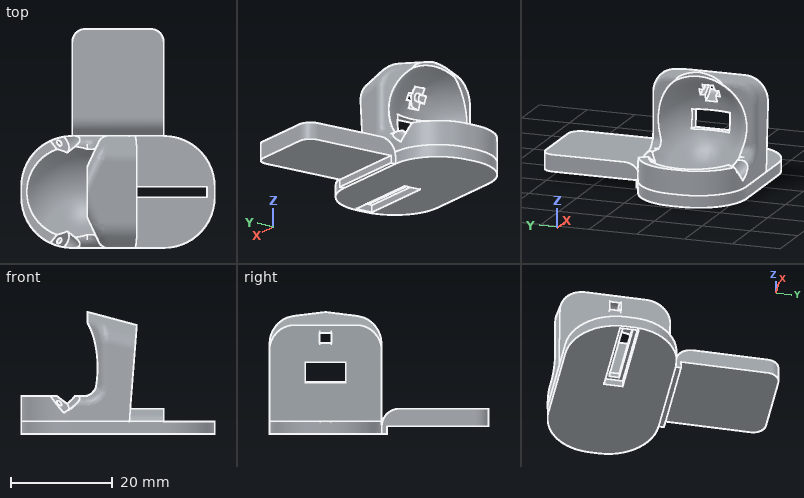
import cadquery as cq
import math

plate_length = 38.0
plate_width = 22.0
plate_thickness = 2.5
corner_radius = 10.0
half_width = plate_width / 2
straight_start = corner_radius
straight_end = plate_length - corner_radius

back_foot = 21.25
slot_start = back_foot
slot_end = 36.45
slot_width = 2.0
slot_lip_thickness = 1.05
slot_step = 0.85

overall_width = 43
tab_length = overall_width - plate_width
tab_underside = 1.5
tab_thickness = 3.5
tab_leg_width = 1.08
tab_corner_radius = 2.6

housing_height = 24.0
rim_height = 7.5
back_lean = 4.5
roof_slope = 15
roof_edge_radius = 5.0
brow_front = 13.0
pillar_corner = 15.8
pillar_sweep = 25
edge_radius = 2.0

socket_radius = 10.5
socket_x = corner_radius
socket_floor = 0.05
socket_z = plate_thickness + socket_floor + socket_radius

window_width = 7.9
window_height = 4.0
window_x = 20.3
window_z = 12.2
lever_pivot_x = 20.5
lever_pivot_z = 19.0
lever_pitch = 30
lever_slot_width = 2.3
lever_slot_radius = 2.25
axle_slot_width = 4.13
axle_slot_radius = 0.77

hinge_x = 7.5
hinge_y = 9.6
hinge_z = 6.05
hinge_turn = 38
hinge_rise = 38
hinge_seat_radius = 2.45
hinge_hole_diameter = 1.2
hinge_hole_depth = 2.0

cut_reach = 6.45


def tan_deg(angle):
    return math.tan(math.radians(angle))


def rounded_slab(bottom, height):
    """Rectangle with large round corners, standing on the given level."""
    return (
        cq.Workplane("XY", origin=(plate_length / 2, 0, bottom))
        .rect(plate_length, plate_width)
        .extrude(height)
        .edges("|Z")
        .fillet(corner_radius)
    )


def make_plate():
    slot_length = slot_end - slot_start
    slot_middle = cq.Workplane("XY", origin=((slot_start + slot_end) / 2, 0, 0))
    slot = slot_middle.rect(slot_length, slot_width).extrude(plate_thickness)
    wide_slot = slot_middle.rect(
        slot_length + 2 * slot_step, slot_width + 2 * slot_step
    ).extrude(plate_thickness - slot_lip_thickness)
    return rounded_slab(0, plate_thickness).cut(slot).cut(wide_slot)


def make_tab():
    root = half_width
    top = tab_underside + tab_thickness
    arc_mid = tab_thickness * math.sin(math.radians(45))
    profile = (
        cq.Workplane("YZ", origin=(straight_start, 0, 0))
        .moveTo(root, 0)
        .lineTo(root, tab_underside)
        .threePointArc(
            (root + tab_thickness - arc_mid, tab_underside + arc_mid),
            (root + tab_thickness, top),
        )
        .lineTo(root + tab_length, top)
        .lineTo(root + tab_length, tab_underside)
        .lineTo(root + tab_leg_width, tab_underside)
        .lineTo(root + tab_leg_width, 0)
        .close()
    )
    tab = profile.extrude(straight_end - straight_start)
    return tab.faces(">Y").edges("|Z").fillet(tab_corner_radius)


def make_arch_half():
    """The -Y half of the raised back, cut on the middle plane so both halves mitre there."""
    roof_fall = tan_deg(roof_slope)
    lean = tan_deg(back_lean)
    front_roof = housing_height + (brow_front - straight_start) * roof_fall
    back_rise = (front_roof - plate_thickness - (back_foot - straight_start) * roof_fall) / (
        1 + lean * roof_fall
    )
    half = (
        cq.Workplane("XZ")
        .moveTo(straight_start, plate_thickness)
        .lineTo(back_foot, plate_thickness)
        .lineTo(back_foot + back_rise * lean, plate_thickness + back_rise)
        .lineTo(straight_start, front_roof)
        .close()
        .extrude(half_width)
    )
    half = half.faces("<Y").edges(">Z").fillet(roof_edge_radius)

    nose_x = pillar_corner - half_width * tan_deg(pillar_sweep)
    front_space = (
        cq.Workplane("XY", origin=(0, 0, rim_height))
        .moveTo(0, 0)
        .lineTo(nose_x, 0)
        .lineTo(pillar_corner, -half_width)
        .lineTo(0, -half_width)
        .close()
        .extrude(housing_height)
    )
    half = half.cut(front_space)

    foot_middle = ((nose_x + pillar_corner) / 2, -half_width / 2, rim_height)
    half = half.edges(cq.NearestToPointSelector(foot_middle)).fillet(edge_radius)
    pillar_middle = (pillar_corner, -half_width, (rim_height + housing_height) / 2)
    return half.edges(cq.NearestToPointSelector(pillar_middle)).fillet(edge_radius)


def round_ended_channel(radius, width):
    """Climbing channel from the socket whose closed end is round about the lever pivot."""
    end = cq.Workplane("XZ").circle(radius).extrude(width / 2, both=True)
    run = cq.Workplane("XZ").rect(2 * socket_radius, 2 * radius).extrude(width / 2, both=True)
    channel = end.union(run.translate((-socket_radius, 0, 0)))
    channel = channel.rotate((0, 0, 0), (0, 1, 0), -lever_pitch)
    return channel.translate((lever_pivot_x, 0, lever_pivot_z))


def make_window():
    """Rectangular opening square to the leaning back face."""
    window = cq.Workplane("XY").box(cut_reach, window_width, window_height)
    window = window.rotate((0, 0, 0), (0, 1, 0), back_lean)
    return window.translate((window_x, 0, window_z))


def make_hinge_cut(side):
    """Round seat open to the outside, with a blind pin hole in its floor."""
    turn = math.radians(hinge_turn)
    rise = math.radians(hinge_rise)
    axis = cq.Vector(
        math.cos(rise) * math.cos(turn),
        side * math.cos(rise) * math.sin(turn),
        math.sin(rise),
    )
    centre = cq.Vector(hinge_x, side * hinge_y, hinge_z)
    seat = cq.Solid.makeCylinder(hinge_seat_radius, cut_reach, centre, axis)
    hole = cq.Solid.makeCylinder(hinge_hole_diameter / 2, hinge_hole_depth, centre, axis * -1)
    return seat.fuse(hole)


def make_housing():
    arch_half = make_arch_half()
    arch = arch_half.union(arch_half.mirror("XZ"))
    rim_space = cq.Workplane("XY").box(
        corner_radius, plate_width, housing_height, centered=(False, True, False)
    )
    rim = rounded_slab(plate_thickness, rim_height - plate_thickness).intersect(rim_space)
    housing = rim.union(arch)

    nose_space = cq.Workplane("XY", origin=(0, 0, rim_height)).box(
        brow_front, plate_width, housing_height, centered=(False, True, False)
    )
    socket = cq.Workplane("XY").sphere(socket_radius).translate((socket_x, 0, socket_z))
    housing = housing.cut(nose_space).cut(socket).cut(make_window())
    housing = housing.cut(round_ended_channel(lever_slot_radius, lever_slot_width))
    housing = housing.cut(round_ended_channel(axle_slot_radius, axle_slot_width))
    for side in (-1, 1):
        housing = housing.cut(cq.Workplane(make_hinge_cut(side)))
    return housing


plate = make_plate()
tab = make_tab()
housing = make_housing()

result = cq.Compound.makeCompound([plate.val(), tab.val(), housing.val()])